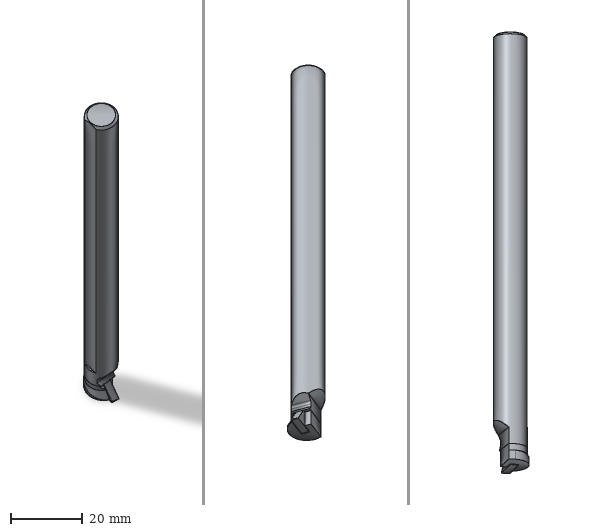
import cadquery as cq
import math


length = 126.2
shank_radius = 4.8
top_chamfer_width = 0.8
top_chamfer_height = 0.8
flat_depth = 0.57
flat_bottom = 11.2

relief_y = 2.0
relief_start = 12.9
relief_end = relief_start - (shank_radius - relief_y)

notch_floor = 2.5
notch_radius = 1.4
notch_start = 10.5
notch_wall_angle = 45.0
flank_top = 6.7

joint_z = 5.3
head_radius = 5.5
head_x = head_radius - shank_radius
flare_top = 3.4
flare_slope = 0.5
base_left = 0.8
base_right = 0.4
facet_angle = 13.0

tip_x = 7.2
tip_clearance = 0.4
rake_y = 0.1
blade_back = -2.3
blade_start_x = -0.5
blade_start_z = 0.4
flank_step = 0.5

far = 2 * shank_radius


def prism_along_y(points, y_from, y_to):
    """Solid with a polygonal outline in X and Z, between two Y positions."""
    sketch = cq.Workplane("XZ", origin=(0, y_to, 0)).polyline(points).close()
    return sketch.extrude(y_to - y_from)


def flank_x(z):
    """X position of the blade flank at a given height."""
    return tip_x - (tip_x - notch_floor) * z / flank_top


def relief_cutter():
    return (
        cq.Workplane("YZ")
        .moveTo(relief_y, 0)
        .lineTo(relief_y, relief_end)
        .lineTo(shank_radius, relief_start)
        .lineTo(far, relief_start)
        .lineTo(far, 0)
        .close()
        .extrude(far, both=True)
    )


def notch_cutter():
    """Notch with a sloping upper wall blended into the floor, and the slope of the blade flank."""
    wall_slope = math.radians(notch_wall_angle)
    arc_angle = wall_slope / 2
    blend = notch_radius * math.tan(arc_angle)
    corner_z = notch_start - (shank_radius - notch_floor) / math.tan(wall_slope)
    tangent_point = (
        notch_floor + blend * math.sin(wall_slope),
        corner_z + blend * math.cos(wall_slope),
    )
    arc_middle = (
        notch_floor + notch_radius * (1 - math.cos(arc_angle)),
        corner_z - blend + notch_radius * math.sin(arc_angle),
    )
    return (
        cq.Workplane("XZ")
        .moveTo(far, notch_start)
        .lineTo(shank_radius, notch_start)
        .lineTo(*tangent_point)
        .threePointArc(arc_middle, (notch_floor, corner_z - blend))
        .lineTo(notch_floor, flank_top)
        .lineTo(tip_x, 0)
        .lineTo(far, 0)
        .close()
        .extrude(far, both=True)
    )


def make_shank():
    profile = [
        (0, joint_z),
        (shank_radius, joint_z),
        (shank_radius, length - top_chamfer_height),
        (shank_radius - top_chamfer_width, length),
        (0, length),
    ]
    bar = cq.Workplane("XZ").polyline(profile).close().revolve(360, (0, 0), (0, 1))
    clamping_flat = cq.Workplane("XY").box(far, flat_depth, length, centered=(True, False, False))
    clamping_flat = clamping_flat.translate((0, -shank_radius, flat_bottom))
    return bar.cut(clamping_flat).cut(relief_cutter()).cut(notch_cutter())


def insert_body():
    """Round neck flaring into the larger, off-centre head, with a sloping base."""
    flare_radius = shank_radius + flare_slope * flare_top
    profile = [
        (0, 0),
        (flare_radius, 0),
        (shank_radius, flare_top),
        (shank_radius, joint_z),
        (0, joint_z),
    ]
    flared_neck = cq.Workplane("XZ").polyline(profile).close().revolve(360, (0, 0), (0, 1))
    head = cq.Workplane("XY").center(head_x, 0).circle(head_radius).extrude(joint_z)
    side_outline = [
        (-shank_radius, base_left),
        (-shank_radius, joint_z),
        (flank_x(joint_z) - flank_step, joint_z),
        (flank_x(base_right) - flank_step, base_right),
    ]
    return flared_neck.intersect(head).intersect(prism_along_y(side_outline, -far, far))


def chip_pocket():
    """Clears the insert above the rake face, beside the notch floor."""
    return cq.Workplane("XY").box(far, far, joint_z, centered=False).translate(
        (notch_floor, rake_y, 0)
    )


def side_facet():
    """Flat relief on the -X side of the head, above the rake plane."""
    return (
        cq.Workplane("XY")
        .moveTo(-shank_radius, rake_y)
        .lineTo(-shank_radius + far * math.sin(math.radians(facet_angle)), rake_y + far)
        .lineTo(-far, rake_y + far)
        .lineTo(-far, rake_y)
        .close()
        .extrude(flare_top)
    )


def cutting_blade():
    outline = [
        (blade_start_x, blade_start_z),
        (blade_start_x, joint_z),
        (flank_x(joint_z), joint_z),
        (tip_x, 0),
    ]
    blade = prism_along_y(outline, blade_back, rake_y)
    side_clearance = (
        cq.Workplane("XY")
        .moveTo(tip_x, rake_y)
        .lineTo(tip_x - tip_clearance, blade_back)
        .lineTo(far, blade_back)
        .lineTo(far, rake_y)
        .close()
        .extrude(joint_z)
    )
    return blade.cut(side_clearance)


def make_insert():
    body = insert_body().cut(relief_cutter()).cut(side_facet()).cut(chip_pocket())
    return body.union(cutting_blade())


shank = make_shank()
insert = make_insert()

result = cq.Compound.makeCompound([shank.val(), insert.val()])